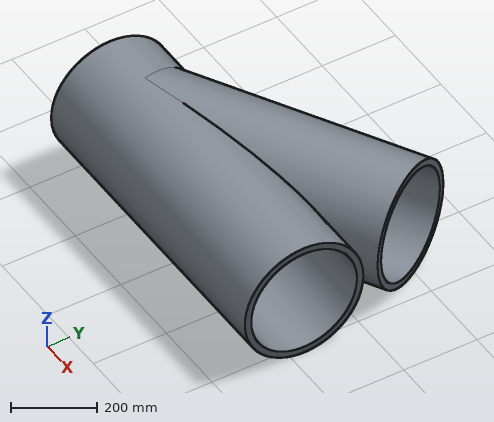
import cadquery as cq
import math

run_length = 851.0
outer_diameter = 324.0
inner_diameter = 289.0
branch_start = 152.0
branch_length = 699.0
branch_angle = 30.0

angle = math.radians(branch_angle)
run_direction = cq.Vector(1, 0, 0)
branch_direction = cq.Vector(math.cos(angle), math.sin(angle), 0)
run_origin = cq.Vector(0, 0, 0)
axes_crossing = cq.Vector(branch_start, 0, 0)


def cylinder(diameter, length, origin, direction):
    """Solid round bar from origin along direction."""
    return cq.Workplane(cq.Solid.makeCylinder(diameter / 2, length, origin, direction))


def wye(diameter):
    """Run and branch of one diameter joined into a single solid."""
    run = cylinder(diameter, run_length, run_origin, run_direction)
    branch = cylinder(diameter, branch_length, axes_crossing, branch_direction)
    return run.union(branch)


result = wye(outer_diameter).cut(wye(inner_diameter))